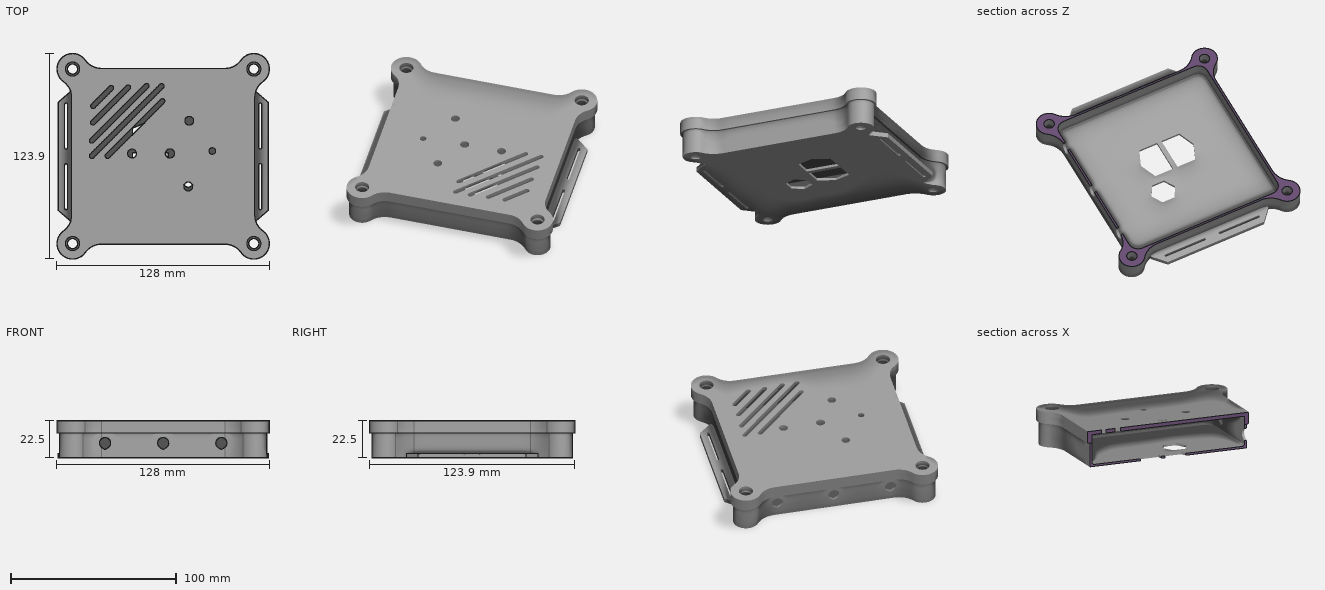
import cadquery as cq
import math

total_height = 22.5
base_height = 15.0
lid_height = total_height - base_height

overall_x = 128.0
overall_y = 123.92
lid_lug_radius = 9.4
base_inset = 1.5
lug_x = overall_x / 2 - lid_lug_radius
lug_y = overall_y / 2 - lid_lug_radius
screw_hole_diameter = 6.0
screw_recess_diameter = 8.5
screw_recess_depth = 3.0

side_x = 55.1
side_y = 53.0
fillet_run = 17.4

lid_wall = 3.0
cavity_corner_radius = 6.0
floor_thickness = 1.5
lid_thickness = 2.5
floor_chamfer = 1.0
cavity_x = 2 * (side_x - lid_wall)
cavity_y = 2 * (side_y - lid_wall)

cable_hole_radius = 3.35
cable_hole_tip_drop = 3.9
cable_hole_spacing = 35.0
cable_hole_z = 9.0

tab_reach_x = 63.35
tab_thickness = 2.7
tab_outer_half_length = 32.5
tab_root_half_length = 39.7
strap_slot_x = 58.5
strap_slot_width = 1.6
strap_slot_inner_y = 4.4
strap_slot_outer_y = 32.1

vent_width = 3.0
vent_slots = [
    (-42.2, 30.3, 10.9),
    (-42.3, 20.3, 21.2),
    (-43.0, 9.4, 33.0),
    (-43.0, 0.2, 42.1),
    (-33.5, 0.2, 33.0),
]

lid_holes = [
    (-18.8, 1.7, 5.33),
    (4.1, 1.75, 5.5),
    (15.7, 21.4, 5.33),
    (15.1, -18.2, 5.33),
    (29.6, 3.2, 4.0),
]

window_left_x = -18.35
window_right_x = 2.9
window_bar_bottom_y = 2.0
window_bar_width = 3.0
window_eaves_y = 17.0
window_roof_angle = 22.0
hex_window_x = 15.1
hex_window_tip_y = -18.9
hex_window_side = 8.0


def extrude_from(outline, z, height):
    return outline.extrude(height).translate((0, 0, z))


def quarter_outline(inset):
    """One quarter of the lugged plate: a corner lug flowing into both sides through tangent fillets."""
    lug_radius = lid_lug_radius - inset
    inset_side_x = side_x - inset
    inset_side_y = side_y - inset

    def fillet_points(along, across, side):
        """End point on the lug and middle point of the fillet between a side and the lug.

        along, across: the lug centre's coordinates along and across that side.
        """
        offset = side - across
        radius = (fillet_run**2 + offset**2 - lug_radius**2) / (2 * (lug_radius - offset))
        centre = (along - fillet_run, side + radius)
        to_lug = math.atan2(across - centre[1], fillet_run)
        middle = (to_lug - math.pi / 2) / 2

        def on_fillet(angle):
            return (centre[0] + radius * math.cos(angle), centre[1] + radius * math.sin(angle))

        return on_fillet(to_lug), on_fillet(middle)

    tangent_a, middle_a = fillet_points(lug_x, lug_y, inset_side_y)
    tangent_b, middle_b = [(x, y) for y, x in fillet_points(lug_y, lug_x, inset_side_x)]
    tip = (lug_x + lug_radius * math.sqrt(0.5), lug_y + lug_radius * math.sqrt(0.5))
    straight_x = lug_x - fillet_run
    straight_y = lug_y - fillet_run

    return (
        cq.Workplane("XY")
        .moveTo(0, 0)
        .lineTo(0, inset_side_y)
        .lineTo(straight_x, inset_side_y)
        .threePointArc(middle_a, tangent_a)
        .threePointArc(tip, tangent_b)
        .threePointArc(middle_b, (inset_side_x, straight_y))
        .lineTo(inset_side_x, 0)
        .close()
    )


def lug_plate(inset, z, height):
    quarter = extrude_from(quarter_outline(inset), z, height)
    half = quarter.union(quarter.mirror("YZ"))
    return half.union(half.mirror("XZ")).clean()


def at_lugs():
    return cq.Workplane("XY").rect(2 * lug_x, 2 * lug_y, forConstruction=True).vertices()


def screw_holes():
    return at_lugs().circle(screw_hole_diameter / 2).extrude(total_height)


def strap_tab(side):
    """Flat tab with two strap slots; side is +1 or -1 along X."""
    root_x = side * side_x
    end_x = side * tab_reach_x
    inside_x = side * cavity_x / 2
    tab = (
        cq.Workplane("XY")
        .polyline([
            (inside_x, -tab_root_half_length),
            (root_x, -tab_root_half_length),
            (end_x, -tab_outer_half_length),
            (end_x, tab_outer_half_length),
            (root_x, tab_root_half_length),
            (inside_x, tab_root_half_length),
        ])
        .close()
        .extrude(tab_thickness)
    )
    slot_y = (strap_slot_inner_y + strap_slot_outer_y) / 2
    slot_length = strap_slot_outer_y - strap_slot_inner_y
    slots = (
        cq.Workplane("XY")
        .pushPoints([(side * strap_slot_x, -slot_y), (side * strap_slot_x, slot_y)])
        .slot2D(slot_length, strap_slot_width, 90)
        .extrude(tab_thickness)
    )
    return tab.cut(slots)


def cavity_block(height):
    block = cq.Workplane("XY").rect(cavity_x, cavity_y).extrude(height)
    return block.edges("|Z").fillet(cavity_corner_radius)


def base_cavity():
    block = cavity_block(base_height - floor_thickness)
    return block.faces("<Z").chamfer(floor_chamfer).translate((0, 0, floor_thickness))


def cable_hole(x):
    """Round hole through the front wall whose bottom runs down to a point."""
    half_angle = math.acos(cable_hole_radius / cable_hole_tip_drop)
    tangent_x = cable_hole_radius * math.sin(half_angle)
    tangent_z = -cable_hole_radius * math.cos(half_angle)
    profile = (
        cq.Workplane("XZ")
        .moveTo(0, -cable_hole_tip_drop)
        .lineTo(tangent_x, tangent_z)
        .threePointArc((0, cable_hole_radius), (-tangent_x, tangent_z))
        .close()
    )
    depth = overall_y / 2
    return profile.extrude(depth).translate((x, 0, cable_hole_z))


def floor_windows():
    width = window_right_x - window_left_x
    centre_x = (window_left_x + window_right_x) / 2
    bar_top = window_bar_bottom_y + window_bar_width
    roof_rise = width / 2 * math.tan(math.radians(window_roof_angle))
    house = (
        cq.Workplane("XY")
        .polyline([
            (window_left_x, bar_top),
            (window_right_x, bar_top),
            (window_right_x, window_eaves_y),
            (centre_x, window_eaves_y + roof_rise),
            (window_left_x, window_eaves_y),
        ])
        .close()
        .extrude(floor_thickness)
    )
    bar_middle = window_bar_bottom_y + window_bar_width / 2
    mirrored = house.mirror("XZ", (0, bar_middle, 0))
    hexagon = (
        cq.Workplane("XY")
        .polygon(6, 2 * hex_window_side)
        .extrude(floor_thickness)
        .rotate((0, 0, 0), (0, 0, 1), 90)
        .translate((hex_window_x, hex_window_tip_y + hex_window_side, 0))
    )
    return house.add(mirrored).add(hexagon)


def make_base():
    base = lug_plate(base_inset, 0, base_height)
    for side in (-1, 1):
        base = base.union(strap_tab(side))
    base = base.cut(base_cavity()).cut(screw_holes())
    for column in (-1, 0, 1):
        base = base.cut(cable_hole(column * cable_hole_spacing))
    for window in floor_windows().vals():
        base = base.cut(cq.Workplane(window))
    return base


def make_lid():
    lid = lug_plate(0, base_height, lid_height)
    cavity = cavity_block(lid_height - lid_thickness).translate((0, 0, base_height))
    lid = lid.cut(cavity).cut(screw_holes())
    recesses = at_lugs().circle(screw_recess_diameter / 2)
    lid = lid.cut(extrude_from(recesses, total_height - screw_recess_depth, screw_recess_depth))
    for x, y, run in vent_slots:
        slot = (
            cq.Workplane("XY")
            .center(x + run / 2, y + run / 2)
            .slot2D(run * math.sqrt(2) + vent_width, vent_width, 45)
        )
        lid = lid.cut(extrude_from(slot, base_height, lid_height))
    for x, y, diameter in lid_holes:
        hole = cq.Workplane("XY").center(x, y).circle(diameter / 2)
        lid = lid.cut(extrude_from(hole, base_height, lid_height))
    return lid


base = make_base()
lid = make_lid()

result = cq.Compound.makeCompound([base.val(), lid.val()])